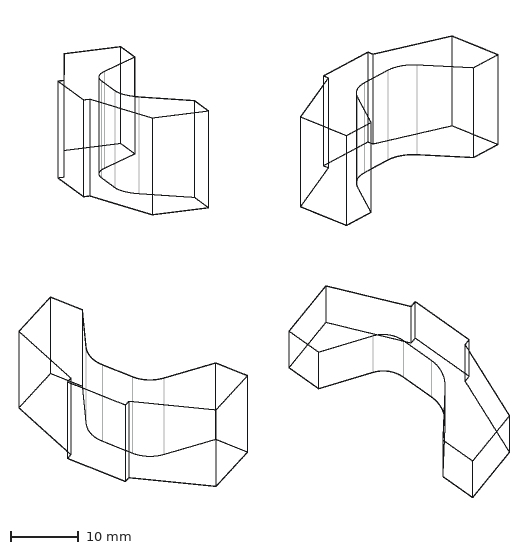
import cadquery as cq

length = 34.0
depth = 15.0
height = 15.0

pad_width = 10.0
pad_thickness = 1.0

shoulder_y = 6.0

end_land = 5.5
recess_floor_width = 10.4
recess_fillet = 5.0

half_length = length / 2
half_pad = pad_width / 2
half_mouth = half_length - end_land
half_floor = recess_floor_width / 2


def make_body():
    """Extrude the block outline with its sloped flanks and stepped pad."""
    return (
        cq.Workplane("XY")
        .moveTo(-half_pad, 0)
        .lineTo(half_pad, 0)
        .lineTo(half_pad, pad_thickness)
        .lineTo(half_length, shoulder_y)
        .lineTo(half_length, depth)
        .lineTo(-half_length, depth)
        .lineTo(-half_length, shoulder_y)
        .lineTo(-half_pad, pad_thickness)
        .close()
        .extrude(height)
    )


def make_recess():
    """Trapezoidal cutter with rounded corners along the recess floor."""
    return (
        cq.Workplane("XY")
        .moveTo(-half_floor, shoulder_y)
        .lineTo(half_floor, shoulder_y)
        .lineTo(half_mouth, depth)
        .lineTo(-half_mouth, depth)
        .close()
        .extrude(height)
        .edges("|Z and (not >Y)")
        .fillet(recess_fillet)
    )


result = make_body().cut(make_recess())